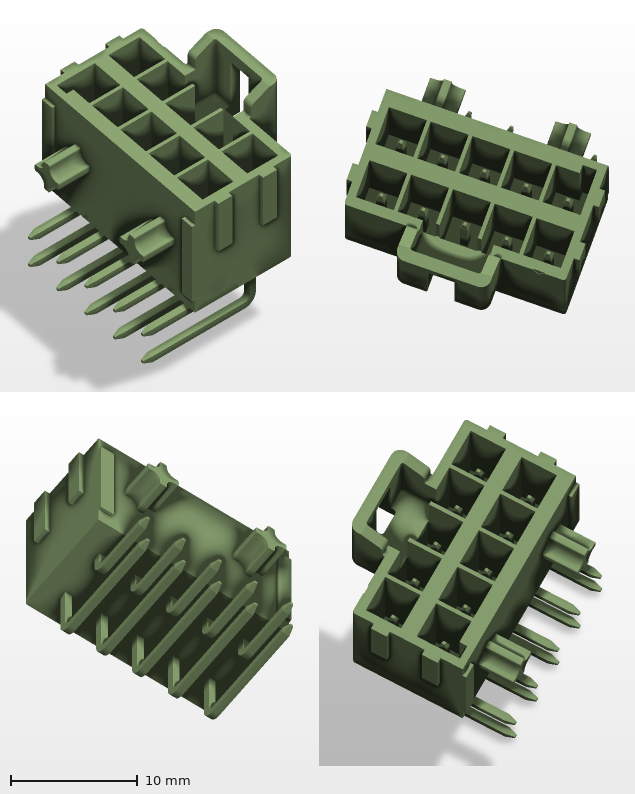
import cadquery as cq
import math

BODY_WIDTH = 18.56
BODY_DEPTH = 9.95
BODY_HEIGHT = 11.2
REAR_CORNER_RADIUS = 0.25

COLUMNS = 5
COLUMN_PITCH = 3.5
FRONT_ROW_Y = 2.92
ROW_PITCH = 4.58
COLUMN_XS = [(i - (COLUMNS - 1) / 2) * COLUMN_PITCH for i in range(COLUMNS)]
ROW_YS = [FRONT_ROW_Y, FRONT_ROW_Y + ROW_PITCH]

CELL_SIZE = 3.18
CELL_FLOOR_Z = 2.2
KEY_WIDTH = 1.2
KEY_FRONT_Y = 0.62

MARK_SIZE = 1.0
MARK_DEPTH = 0.07

PIN_SIZE = 0.66
PIN_BEND_RADIUS = 0.52
PIN_TOP_Z = 8.0
PIN_TIP_LENGTH = 0.8
PIN_TIP_SIZE = 0.26
PIN_FRONT_Y = -3.53
PIN_UNDERSIDE_ZS = [-2.28, -5.28]

RIB_PROTRUSION = 0.47
RIB_WIDTH = 1.43
RIB_HEIGHT = 5.3
RIB_OFFSET_FROM_ROW = -0.22

PAD_WIDTH = 1.25
PAD_THICKNESS = 0.32
PAD_BOTTOM_Z = 1.4
PAD_TOP_Z = 9.72

PEG_X = 1.5 * COLUMN_PITCH
PEG_Z = 5.94
PEG_RADIUS = 1.5
PEG_ARM_WIDTH = 0.68
PEG_FLUTE_RADIUS = 0.8
PEG_TIP_FILLET = 0.1
PEG_LENGTH = 3.17

LATCH_WIDTH = 7.84
LATCH_REAR_Y = 13.23
LATCH_BOTTOM_Z = 5.97
LATCH_TOP_Z = BODY_HEIGHT + 2.2
LATCH_CORNER_RADIUS = 0.82
LATCH_ARM_FRONT_Y = 10.16
LATCH_SLOPE_START_Y = 12.07
LATCH_SLOPE_ANGLE = 27
LATCH_NOSE_RADIUS = 0.5
LATCH_FOOT_RADIUS = 0.12

RECESS_WIDTH = 5.94
RECESS_FRONT_Y = 9.0
RECESS_REAR_Y = 12.2
RECESS_FLOOR_Z = 7.25
RECESS_FILLET = 0.25

WINDOW_WIDTH = 2.29
WINDOW_TOP_Z = LATCH_TOP_Z - 1.2
WINDOW_FRONT_Y = 11.65
WINDOW_CORNER_RADIUS = 0.25


def block(x0, x1, y0, y1, z0, z1):
    """Box between opposite corner coordinates."""
    return cq.Workplane("XY").box(x1 - x0, y1 - y0, z1 - z0, centered=False).translate((x0, y0, z0))


def centred_block(width, y0, y1, z0, z1):
    """Box symmetric about X = 0."""
    return block(-width / 2, width / 2, y0, y1, z0, z1)


def make_body():
    """Solid housing block with rounded rear corners."""
    body = centred_block(BODY_WIDTH, 0, BODY_DEPTH, 0, BODY_HEIGHT)
    return body.edges("|Z and >Y").fillet(REAR_CORNER_RADIUS)


def make_latch():
    """Latch block with rounded rear corners and a sloped, rounded front top."""
    slope_run = LATCH_SLOPE_START_Y - LATCH_ARM_FRONT_Y
    nose_z = LATCH_TOP_Z - slope_run * math.tan(math.radians(LATCH_SLOPE_ANGLE))
    latch = (
        cq.Workplane("YZ")
        .moveTo(LATCH_REAR_Y, LATCH_BOTTOM_Z)
        .lineTo(LATCH_REAR_Y, LATCH_TOP_Z)
        .lineTo(LATCH_SLOPE_START_Y, LATCH_TOP_Z)
        .lineTo(LATCH_ARM_FRONT_Y, nose_z)
        .lineTo(LATCH_ARM_FRONT_Y, BODY_HEIGHT)
        .lineTo(RECESS_FRONT_Y, BODY_HEIGHT)
        .lineTo(RECESS_FRONT_Y, LATCH_BOTTOM_Z)
        .close()
        .extrude(LATCH_WIDTH / 2, both=True)
    )
    latch = latch.edges("|Z and >Y").fillet(LATCH_CORNER_RADIUS)
    nose = cq.selectors.NearestToPointSelector((0, LATCH_ARM_FRONT_Y, nose_z))
    foot = cq.selectors.NearestToPointSelector((0, LATCH_ARM_FRONT_Y, BODY_HEIGHT))
    latch = latch.edges(nose).fillet(LATCH_NOSE_RADIUS)
    return latch.edges(foot).fillet(LATCH_FOOT_RADIUS)


def make_recess():
    """Cutter for the latch interior, rounded along its floor and rear corners."""
    recess = centred_block(RECESS_WIDTH, RECESS_FRONT_Y, RECESS_REAR_Y, RECESS_FLOOR_Z, LATCH_TOP_Z)
    recess = recess.edges("|Z and >Y").fillet(RECESS_FILLET)
    return recess.faces("<Z").edges("not <Y").fillet(RECESS_FILLET)


def make_window():
    """Cutter for the latch window."""
    window = centred_block(WINDOW_WIDTH, WINDOW_FRONT_Y, LATCH_REAR_Y, LATCH_BOTTOM_Z, WINDOW_TOP_Z)
    return window.edges("|Z and <Y").fillet(WINDOW_CORNER_RADIUS)


def make_mark():
    """Cutter for the triangular first-contact mark at the top of the rear face."""
    half = MARK_SIZE / 2
    return (
        cq.Workplane("XZ", origin=(COLUMN_XS[0], BODY_DEPTH, BODY_HEIGHT))
        .polyline([(-half, 0), (half, 0), (0, -MARK_SIZE)])
        .close()
        .extrude(MARK_DEPTH)
    )


def make_cells():
    """Cutter for all contact cavities and the keying notch."""
    points = [(x, y) for x in COLUMN_XS for y in ROW_YS]
    depth = BODY_HEIGHT - CELL_FLOOR_Z
    cells = (
        cq.Workplane("XY", origin=(0, 0, CELL_FLOOR_Z))
        .pushPoints(points)
        .rect(CELL_SIZE, CELL_SIZE)
        .extrude(depth)
    )
    key_x = COLUMN_XS[0] - CELL_SIZE / 2
    key = block(key_x, key_x + KEY_WIDTH, KEY_FRONT_Y, FRONT_ROW_Y, CELL_FLOOR_Z, BODY_HEIGHT)
    return cells.union(key)


def make_pin_tip(base):
    """Tapered pin end rising from the given workplane."""
    return (
        base.rect(PIN_SIZE, PIN_SIZE)
        .workplane(offset=PIN_TIP_LENGTH)
        .rect(PIN_TIP_SIZE, PIN_TIP_SIZE)
        .loft(ruled=True)
    )


def make_pin(row_y, underside_z):
    """Square pin at X = 0: upright in the cavity, bent forward below, both ends tapered."""
    half = PIN_SIZE / 2
    tail_z = underside_z + half
    shank_top_z = PIN_TOP_Z - PIN_TIP_LENGTH
    shank_front_y = PIN_FRONT_Y + PIN_TIP_LENGTH
    bend_radius = PIN_BEND_RADIUS + half
    path = (
        cq.Workplane("YZ")
        .moveTo(row_y, shank_top_z)
        .lineTo(row_y, tail_z + bend_radius)
        .radiusArc((row_y - bend_radius, tail_z), bend_radius)
        .lineTo(shank_front_y, tail_z)
    )
    shank = cq.Workplane("XY", origin=(0, row_y, shank_top_z)).rect(PIN_SIZE, PIN_SIZE).sweep(path)
    upper_tip = make_pin_tip(cq.Workplane("XY", origin=(0, row_y, shank_top_z)))
    front_tip = make_pin_tip(cq.Workplane("XZ", origin=(0, shank_front_y, tail_z)))
    return shank.union(upper_tip).union(front_tip)


def make_ribs():
    """Bars across the full housing width whose ends stand out as ribs."""
    rib_span = BODY_WIDTH + 2 * RIB_PROTRUSION
    ribs = cq.Workplane("XY")
    for row_y in ROW_YS:
        y0 = row_y + RIB_OFFSET_FROM_ROW - RIB_WIDTH / 2
        ribs = ribs.union(centred_block(rib_span, y0, y0 + RIB_WIDTH, BODY_HEIGHT - RIB_HEIGHT, BODY_HEIGHT))
    return ribs


def make_pad():
    """Pad at the left end of the front face."""
    x0 = -BODY_WIDTH / 2
    return block(x0, x0 + PAD_WIDTH, -PAD_THICKNESS, 0, PAD_BOTTOM_Z, PAD_TOP_Z)


def make_peg(x):
    """Round peg with four concave flutes leaving a cross with rounded arm ends."""
    inner = PEG_ARM_WIDTH / 2
    flute_size = 2 * PEG_RADIUS
    plane = cq.Workplane("XZ", origin=(x, 0, PEG_Z))
    flute_edge = cq.selectors.NearestToPointSelector((x + inner, -PEG_LENGTH / 2, PEG_Z + inner))
    flute = (
        plane.center(inner, inner)
        .rect(flute_size, flute_size, centered=False)
        .extrude(PEG_LENGTH)
        .edges(flute_edge)
        .fillet(PEG_FLUTE_RADIUS)
    )
    peg = plane.circle(PEG_RADIUS).extrude(PEG_LENGTH)
    for quarter in range(4):
        peg = peg.cut(flute.rotate((x, 0, PEG_Z), (x, 1, PEG_Z), 90 * quarter))
    arm_end = math.sqrt(PEG_RADIUS**2 - inner**2)
    for along_x, along_z in ((arm_end, inner), (inner, arm_end)):
        for side_x in (-1, 1):
            for side_z in (-1, 1):
                corner = (x + side_x * along_x, -PEG_LENGTH / 2, PEG_Z + side_z * along_z)
                peg = peg.edges(cq.selectors.NearestToPointSelector(corner)).fillet(PEG_TIP_FILLET)
    return peg


result = make_body().union(make_latch()).union(make_ribs())
result = result.cut(make_cells()).cut(make_recess()).cut(make_window()).cut(make_mark())
result = result.union(make_pad()).union(make_pad().mirror("YZ"))
for peg_x in (-PEG_X, PEG_X):
    result = result.union(make_peg(peg_x))
for pin_row_y, pin_underside_z in zip(ROW_YS, PIN_UNDERSIDE_ZS):
    pin = make_pin(pin_row_y, pin_underside_z)
    for column_x in COLUMN_XS:
        result = result.union(pin.translate((column_x, 0, 0)))